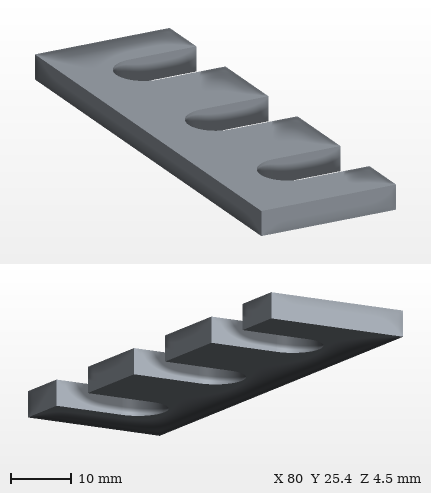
import cadquery as cq

length = 80.0
width = 25.4
thickness = 4.5

slot_count = 3
slot_pitch = 25.45
slot_width = 10.25
slot_depth = 17.8

slot_radius = slot_width / 2
open_edge_y = width / 2
arc_center_y = open_edge_y - slot_depth + slot_radius


def open_slot(center_x):
    """Through-cutter with straight sides and a semicircular closed end."""
    left = center_x - slot_radius
    right = center_x + slot_radius
    return (
        cq.Workplane("XY")
        .moveTo(left, open_edge_y)
        .lineTo(left, arc_center_y)
        .threePointArc((center_x, open_edge_y - slot_depth), (right, arc_center_y))
        .lineTo(right, open_edge_y)
        .close()
        .extrude(thickness, both=True)
    )


result = cq.Workplane("XY").box(length, width, thickness)
for index in range(slot_count):
    offset_from_middle = index - (slot_count - 1) / 2
    result = result.cut(open_slot(offset_from_middle * slot_pitch))